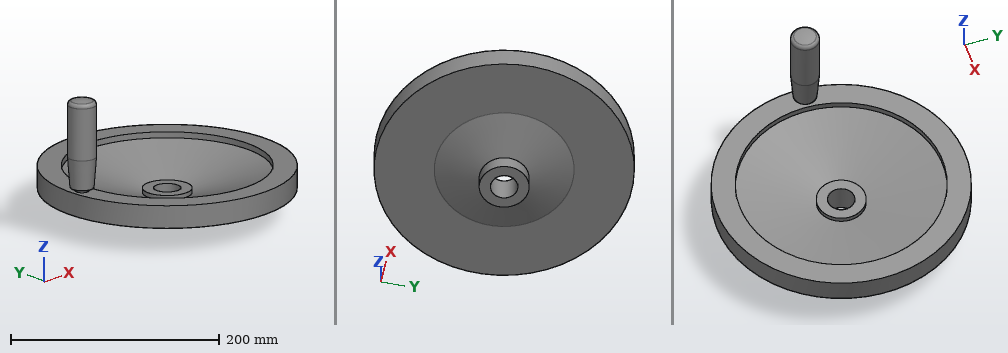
import cadquery as cq
import math

rim_radius = 125.0
rim_height = 23.0
dish_radius = 101.8
dish_wall = 6.0
hub_radius = 24.0
hub_top = 0
hub_bottom = -28.0
hub_bore_radius = 13.1
hub_top_step = 4.5
cone_radius = 67.2
cone_depth = 13.6

overall_length = 252.5
grip_radius = 28.0 / 2
handle_offset = overall_length - rim_radius - grip_radius
neck_radius = 6.5
neck_height = 3.0
grip_foot_radius = 11.5
foot_chamfer = 0.8
taper_top = 34.5
shoulder_height = 87.0
crown_edge_radius = 10.9
crown_edge_height = 91.2
handle_height = 92.5


def make_wheel():
    """Dished wheel with a bored hub, as a half section spun about Z."""
    section = (
        cq.Workplane("XZ")
        .moveTo(hub_bore_radius, hub_bottom)
        .lineTo(hub_radius, hub_bottom)
        .lineTo(hub_radius, -cone_depth)
        .lineTo(cone_radius, 0)
        .lineTo(rim_radius, 0)
        .lineTo(rim_radius, rim_height)
        .lineTo(dish_radius, rim_height)
        .lineTo(dish_radius, rim_height - dish_wall)
        .lineTo(hub_radius, hub_top - hub_top_step)
        .lineTo(hub_radius, hub_top)
        .lineTo(hub_bore_radius, hub_top)
        .close()
    )
    return section.revolve(360, (0, 0, 0), (0, 1, 0))


def make_handle():
    """Neck, tapered grip, rounded shoulder and domed crown, standing on the rim."""
    crown_rise = handle_height - crown_edge_height
    crown_arc_radius = (crown_edge_radius**2 + crown_rise**2) / (2 * crown_rise)
    middle_radius = crown_edge_radius / 2
    middle_drop = crown_arc_radius - math.sqrt(crown_arc_radius**2 - middle_radius**2)
    crown_middle = (middle_radius, handle_height - middle_drop)
    section = (
        cq.Workplane("XZ")
        .lineTo(neck_radius, 0)
        .lineTo(neck_radius, neck_height)
        .lineTo(grip_foot_radius - foot_chamfer, neck_height)
        .lineTo(grip_foot_radius, neck_height + foot_chamfer)
        .lineTo(grip_radius, taper_top)
        .lineTo(grip_radius, shoulder_height)
        .tangentArcPoint((crown_edge_radius, crown_edge_height), relative=False)
        .threePointArc(crown_middle, (0, handle_height))
        .close()
    )
    handle = section.revolve(360, (0, 0, 0), (0, 1, 0))
    return handle.translate((-handle_offset, 0, rim_height))


result = make_wheel().union(make_handle())